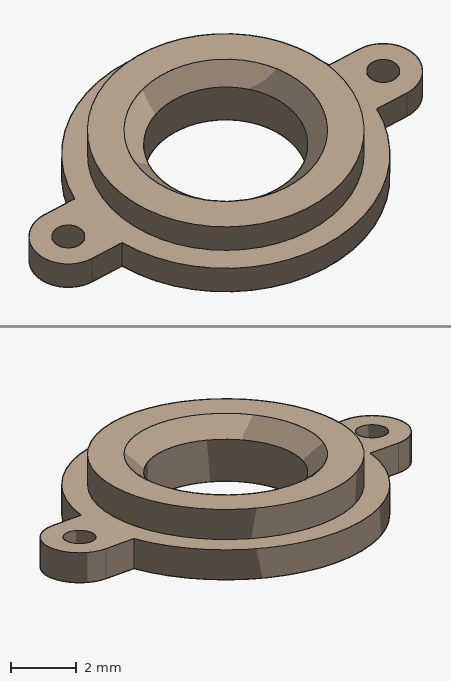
import cadquery as cq
import math

flange_diameter = 10.0
flange_thickness = 1.0
total_height = 2 * flange_thickness
boss_diameter = 8.43
bore_diameter = 5.0
countersink_diameter = 6.2
countersink_depth = (countersink_diameter - bore_diameter) / 2

overall_length = 14.28
ear_radius = 1.2
ear_hole_diameter = 1.0
ear_tilt = 8.0
ear_offset = (overall_length / 2 - ear_radius) / math.cos(math.radians(ear_tilt))


def make_ear(angle):
    """Round-ended ear reaching from the ring axis along +Y, then turned about Z."""
    arm = cq.Workplane("XY").rect(2 * ear_radius, ear_offset).extrude(flange_thickness)
    arm = arm.translate((0, ear_offset / 2, 0))
    tip = cq.Workplane("XY").center(0, ear_offset).circle(ear_radius).extrude(flange_thickness)
    hole = cq.Workplane("XY").center(0, ear_offset).circle(ear_hole_diameter / 2).extrude(flange_thickness)
    return arm.union(tip).cut(hole).rotate((0, 0, 0), (0, 0, 1), angle)


def make_bore():
    """Through bore with a conical countersink at the top."""
    bore_radius = bore_diameter / 2
    countersink_bottom = total_height - countersink_depth
    profile = [
        (0, 0),
        (bore_radius, 0),
        (bore_radius, countersink_bottom),
        (countersink_diameter / 2, total_height),
        (0, total_height),
    ]
    return cq.Workplane("XZ").polyline(profile).close().revolve(360, (0, 0, 0), (0, 1, 0))


flange = cq.Workplane("XY").circle(flange_diameter / 2).extrude(flange_thickness)
boss = cq.Workplane("XY").circle(boss_diameter / 2).extrude(total_height)

body = flange.union(boss)
for angle in (ear_tilt, ear_tilt + 180):
    body = body.union(make_ear(angle))

result = body.cut(make_bore())